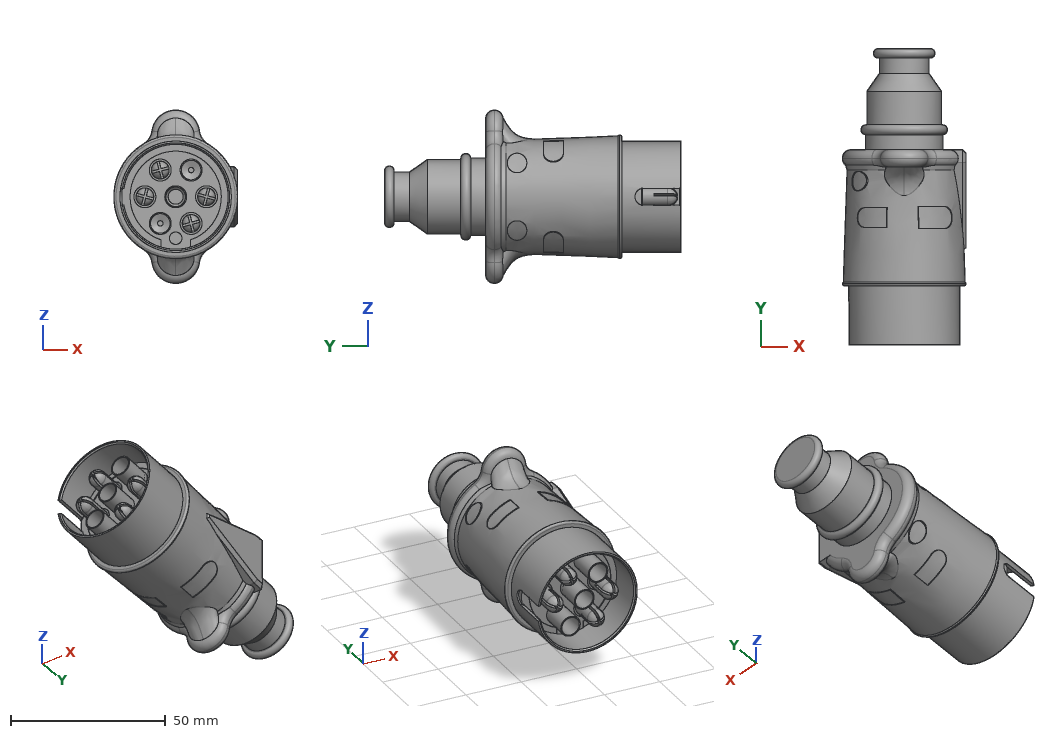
import cadquery as cq
import math


LENGTH = 95.7
HEIGHT = 56.0
EAR_TOP = HEIGHT / 2

SHELL_RADIUS = 18.0
SHELL_BORE = 16.9
MOUTH_CHAMFER = 0.5
FLOOR_DEPTH = 12.7
COLLAR_RADIUS = 20.0
COLLAR_START = 19.0
COLLAR_END = 20.3
COLLAR_ROUND = 0.8
BODY_FRONT_RADIUS = 19.7
BODY_REAR_RADIUS = 18.5
FLANGE_FRONT = 57.4
FLANGE_REAR = 63.1
FLANGE_THICKNESS = FLANGE_REAR - FLANGE_FRONT
FLANGE_FLAT = 0.04
FLANGE_ROUND = (FLANGE_THICKNESS - FLANGE_FLAT) / 2
ROOT_RUN = 1.9
ROOT_RISE = 0.6
BODY_END = 56.45

EAR_RADIUS = 7.75
EAR_CENTRE = EAR_TOP - EAR_RADIUS
EAR_BLEND = 5.7
GUSSET_SECTIONS = ((57.6, 25.7, 5.9), (54.7, 21.4, 7.1), (50.9, 19.1, 10.0), (48.3, 18.8, 11.5))

GLAND_RADIUS = 12.5
SLEEVE_RADIUS = 12.1
NECK_RADIUS = 8.0
FRONT_BEAD = (67.8, 71.1, 14.0)
SLEEVE_END = 81.9
NECK_START = 87.6
REAR_BEAD = (92.6, LENGTH, 9.95)

CONTACT_CIRCLE = 9.95
PIN_ANGLES = (0, 120, 180, 300)
SOCKET_ANGLES = (60, 240)
PIN_RADIUS = 2.9
PIN_TIP = 1.0
PIN_DOME = 3.35
PIN_SLOT_WIDTH = 0.8
PIN_SLOT_END = 8.7
PIN_SLOT_TURN = -15
SOCKET_RADIUS = 3.5
SOCKET_BORE = 3.2
SOCKET_MOUTH = 2.3
SOCKET_CONE_START = 11.5
SOCKET_CONE_END = FLOOR_DEPTH
SOCKET_CONE_TIP = 0.2
CENTRE_CONE_TIP = 2.2

STEP = 0.3
INSERT_RADIUS = 14.7
KEY_WIDTH = 9.6
KEY_HOLE_RADIUS = 2.0
KEY_HOLE_DROP = 13.4

KEYWAY_WIDTH = 5.5
KEYWAY_END = 14.8
KEYWAY_SEAT_RADIUS = 17.4

PLATE_FACE = COLLAR_RADIUS
PLATE_HALF_WIDTH = 9.8
PLATE_TIP = 30.3
PLATE_TIP_HALF_WIDTH = 1.3
PLATE_SHOULDER = 58.8
PLATE_CHAMFER = 1.15
PLATE_ROOT = 13.4

DOT_RADIUS = 3.2
DOT_Y = 52.9
DOT_Z = 10.9
GRIP_Y = 41.1
GRIPS = ((125.2, 11.6, 6.3), (55.5, 13.1, 7.1))


def along_y(start, end, radius, x=0.0, z=0.0):
    """Solid cylinder parallel to Y."""
    base = cq.Vector(x, start, z)
    return cq.Workplane(cq.Solid.makeCylinder(radius, end - start, base, cq.Vector(0, 1, 0)))


def cone_along_y(start, end, start_radius, end_radius, x=0.0, z=0.0):
    """Solid truncated cone parallel to Y."""
    base = cq.Vector(x, start, z)
    return cq.Workplane(cq.Solid.makeCone(start_radius, end_radius, end - start, base, cq.Vector(0, 1, 0)))


def turned(profile):
    """Revolve a profile of (radius, y) points about the plug axis."""
    return profile.close().revolve(360, (0, 0, 0), (0, 1, 0))


def contact_place(angle):
    turn = math.radians(angle)
    return CONTACT_CIRCLE * math.cos(turn), CONTACT_CIRCLE * math.sin(turn)


def mirrored(part):
    """The part together with its mirror image below the plug axis."""
    return part.union(part.mirror("XY"))


def make_body():
    nose = COLLAR_ROUND * (1 - math.sqrt(0.5))
    profile = (
        cq.Workplane("XY")
        .lineTo(SHELL_RADIUS, 0)
        .lineTo(SHELL_RADIUS, COLLAR_START)
        .lineTo(COLLAR_RADIUS - COLLAR_ROUND, COLLAR_START)
        .threePointArc(
            (COLLAR_RADIUS - nose, COLLAR_START + nose),
            (COLLAR_RADIUS, COLLAR_START + COLLAR_ROUND),
        )
        .lineTo(BODY_FRONT_RADIUS, COLLAR_END)
        .lineTo(BODY_REAR_RADIUS, BODY_END)
        .lineTo(BODY_REAR_RADIUS + ROOT_RISE, BODY_END + ROOT_RUN)
        .lineTo(0, BODY_END + ROOT_RUN)
    )
    return turned(profile)


def make_flange():
    """Round disc with an ear above and below, blended together and fully rounded at the rim."""
    to_disc = COLLAR_RADIUS + EAR_BLEND
    to_ear = EAR_RADIUS + EAR_BLEND
    blend_z = (to_disc**2 - to_ear**2 + EAR_CENTRE**2) / (2 * EAR_CENTRE)
    blend_x = math.sqrt(to_disc**2 - blend_z**2)
    disc_x = blend_x * COLLAR_RADIUS / to_disc
    disc_z = blend_z * COLLAR_RADIUS / to_disc
    ear_x = blend_x * EAR_RADIUS / to_ear
    ear_z = EAR_CENTRE + (blend_z - EAR_CENTRE) * EAR_RADIUS / to_ear
    chord_x = (disc_x + ear_x) / 2 - blend_x
    chord_z = (disc_z + ear_z) / 2 - blend_z
    reach = EAR_BLEND / math.hypot(chord_x, chord_z)
    mid_x = blend_x + chord_x * reach
    mid_z = blend_z + chord_z * reach
    outline = (
        cq.Workplane("XZ", origin=(0, FLANGE_REAR, 0))
        .moveTo(disc_x, -disc_z)
        .threePointArc((COLLAR_RADIUS, 0), (disc_x, disc_z))
        .threePointArc((mid_x, mid_z), (ear_x, ear_z))
        .threePointArc((0, EAR_TOP), (-ear_x, ear_z))
        .threePointArc((-mid_x, mid_z), (-disc_x, disc_z))
        .threePointArc((-COLLAR_RADIUS, 0), (-disc_x, -disc_z))
        .threePointArc((-mid_x, -mid_z), (-ear_x, -ear_z))
        .threePointArc((0, -EAR_TOP), (ear_x, -ear_z))
        .threePointArc((mid_x, -mid_z), (disc_x, -disc_z))
        .close()
    )
    return outline.extrude(FLANGE_THICKNESS).edges("%CIRCLE").fillet(FLANGE_ROUND)


def make_gussets():
    """Concave web that carries each ear on the tapered body."""
    rings = []
    for y, top, radius in GUSSET_SECTIONS:
        rings.append(cq.Wire.makeCircle(radius, cq.Vector(0, y, top - radius), cq.Vector(0, 1, 0)))
    return mirrored(cq.Workplane(cq.Solid.makeLoft(rings)))


def make_bead(start, end, radius):
    """Ring with a half-round rim."""
    bulge = (end - start) / 2
    profile = (
        cq.Workplane("XY")
        .moveTo(0, start)
        .lineTo(radius - bulge, start)
        .threePointArc((radius, start + bulge), (radius - bulge, end))
        .lineTo(0, end)
    )
    return turned(profile)


def make_gland():
    profile = (
        cq.Workplane("XY")
        .moveTo(0, FLANGE_FRONT)
        .lineTo(GLAND_RADIUS, FLANGE_FRONT)
        .lineTo(GLAND_RADIUS, FRONT_BEAD[0])
        .lineTo(SLEEVE_RADIUS, FRONT_BEAD[0])
        .lineTo(SLEEVE_RADIUS, SLEEVE_END)
        .lineTo(NECK_RADIUS, NECK_START)
        .lineTo(NECK_RADIUS, LENGTH)
        .lineTo(0, LENGTH)
    )
    return turned(profile).union(make_bead(*FRONT_BEAD)).union(make_bead(*REAR_BEAD))


def make_plate():
    outline = [
        (FLANGE_REAR, -PLATE_HALF_WIDTH),
        (PLATE_SHOULDER, -PLATE_HALF_WIDTH),
        (PLATE_TIP, -PLATE_TIP_HALF_WIDTH),
        (PLATE_TIP, PLATE_TIP_HALF_WIDTH),
        (PLATE_SHOULDER, PLATE_HALF_WIDTH),
        (FLANGE_REAR, PLATE_HALF_WIDTH),
    ]
    plate = cq.Workplane("YZ", origin=(PLATE_ROOT, 0, 0)).polyline(outline).close()
    plate = plate.extrude(PLATE_FACE - PLATE_ROOT)
    return plate.faces(">X").edges().chamfer(PLATE_CHAMFER)


def make_cavity():
    mouth = cone_along_y(0, MOUTH_CHAMFER, SHELL_BORE + MOUTH_CHAMFER, SHELL_BORE)
    cavity = along_y(0, FLOOR_DEPTH, SHELL_BORE).union(mouth)
    key = cq.Workplane("XY").box(KEY_WIDTH, STEP, SHELL_BORE, centered=(True, False, False))
    key = key.translate((0, FLOOR_DEPTH - STEP, -SHELL_BORE))
    insert = along_y(FLOOR_DEPTH - STEP, FLOOR_DEPTH, INSERT_RADIUS).union(key)
    key_hole = along_y(FLOOR_DEPTH - STEP, FLOOR_DEPTH, KEY_HOLE_RADIUS, z=-KEY_HOLE_DROP)
    cavity = cavity.cut(insert).union(key_hole)
    for angle in PIN_ANGLES:
        x, z = contact_place(angle)
        cavity = cavity.union(along_y(FLOOR_DEPTH - STEP, FLOOR_DEPTH, SOCKET_RADIUS, x, z))
    return cavity


def make_keyway():
    """Slot through the shell wall as far as the floor, then a shallow rounded end."""
    end_radius = KEYWAY_WIDTH / 2
    straight = KEYWAY_END - end_radius
    slot = (
        cq.Workplane("YZ", origin=(-SHELL_RADIUS, 0, 0))
        .moveTo(0, -end_radius)
        .lineTo(straight, -end_radius)
        .threePointArc((KEYWAY_END, 0), (straight, end_radius))
        .lineTo(0, end_radius)
        .close()
        .extrude(SHELL_RADIUS - SHELL_BORE + STEP)
    )
    return slot.cut(along_y(FLOOR_DEPTH, KEYWAY_END, KEYWAY_SEAT_RADIUS))


def make_pin(angle):
    """Solid pin with a domed tip, split by a cross slot."""
    x, z = contact_place(angle)
    dome_base = PIN_TIP + PIN_DOME
    flank = math.sqrt(0.5)
    pin = turned(
        cq.Workplane("XY")
        .moveTo(0, PIN_TIP)
        .threePointArc(
            (PIN_RADIUS * flank, dome_base - PIN_DOME * flank),
            (PIN_RADIUS, dome_base),
        )
        .lineTo(PIN_RADIUS, FLOOR_DEPTH + STEP)
        .lineTo(0, FLOOR_DEPTH + STEP)
    )
    slot = cq.Workplane("XY").box(3 * PIN_RADIUS, PIN_SLOT_END, PIN_SLOT_WIDTH, centered=(True, False, True))
    for quarter in (0, 90):
        pin = pin.cut(slot.rotate((0, 0, 0), (0, 1, 0), -(angle + PIN_SLOT_TURN + quarter)))
    return pin.translate((x, 0, z))


def make_socket(x, z, cone_tip):
    """Tube whose bore ends in a tapered bottom."""
    tube = along_y(SOCKET_MOUTH, FLOOR_DEPTH + STEP, SOCKET_RADIUS, x, z)
    bore = along_y(SOCKET_MOUTH, SOCKET_CONE_START, SOCKET_BORE, x, z)
    bottom = cone_along_y(SOCKET_CONE_START, SOCKET_CONE_END, SOCKET_BORE, cone_tip, x, z)
    return tube.cut(bore).cut(bottom)


def make_recesses():
    """Shallow round and D-shaped recesses that follow the tapered body."""
    stations = (COLLAR_END, BODY_END)
    outer = cone_along_y(*stations, BODY_FRONT_RADIUS + STEP, BODY_REAR_RADIUS + STEP)
    inner = cone_along_y(*stations, BODY_FRONT_RADIUS - STEP, BODY_REAR_RADIUS - STEP)
    skin = outer.cut(inner)
    stamps = cq.Workplane("YZ", origin=(0, DOT_Y, DOT_Z)).circle(DOT_RADIUS).extrude(-COLLAR_RADIUS)
    for angle, length, width in GRIPS:
        radius = width / 2
        down = 1 if angle < 90 else -1
        turn = math.radians(angle)
        frame = cq.Plane(
            origin=(0, GRIP_Y, 0),
            xDir=(down * math.sin(turn), 0, -down * math.cos(turn)),
            normal=(math.cos(turn), 0, math.sin(turn)),
        )
        stamp = (
            cq.Workplane(frame)
            .moveTo(-length / 2, -radius)
            .lineTo(length / 2 - radius, -radius)
            .threePointArc((length / 2, 0), (length / 2 - radius, radius))
            .lineTo(-length / 2, radius)
            .close()
            .extrude(COLLAR_RADIUS)
        )
        stamps = stamps.union(stamp)
    return mirrored(skin.intersect(stamps))


result = make_body().union(make_flange()).union(make_gussets()).union(make_gland())
result = result.union(make_plate())
result = result.cut(make_cavity()).cut(make_keyway()).cut(make_recesses())
for pin_angle in PIN_ANGLES:
    result = result.union(make_pin(pin_angle))
for socket_angle in SOCKET_ANGLES:
    result = result.union(make_socket(*contact_place(socket_angle), SOCKET_CONE_TIP))
result = result.union(make_socket(0, 0, CENTRE_CONE_TIP))